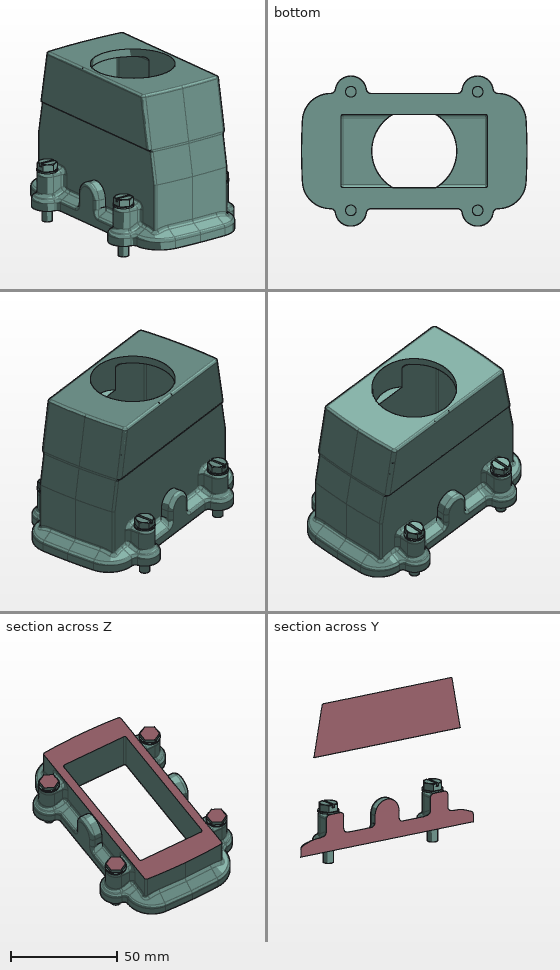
import cadquery as cq
import math

body_height = 74.2
kink_height = 31.2
ledge_bottom = 47.1
ledge_top = 48.0
body_base_half_length = 47.0
body_top_half_length = 39.0
lower_half_width = 21.5
upper_half_width = 22.8
lower_corner_radius = 1.2
upper_corner_radius = 1.8
top_edge_radius = 1.3
end_crown = 1.0

flange_half_length = 53.2
flange_half_width = 27.3
flange_corner_radius = 13.4
flange_end_crown = 1.4
rim_height = 5.0
slope_angle = 30.0
slope_height = 4.0
rim_edge_radius = 1.9
wall_blend_radius = 2.1

boss_x = 29.9
boss_y = 28.0
boss_base_radius = 7.5
boss_radius = 4.9
boss_height = 18.0
boss_edge_radius = 1.9
boss_wall_blend = 1.9
boss_notch_radius = 2.1

overall_height = 81.4
pin_diameter = 5.0
pin_length = overall_height - body_height
washer_diameter = 10.0
washer_top = 18.7
head_top = 22.3
head_across_corners = 9.6
head_crown_diameter = 8.2
slot_width = 1.1
slot_depth = 1.5

pad_half_width = 7.0
pad_center_height = 13.1
pad_foot_radius = 1.9

wall_thickness = 4.3
cavity_half_width = lower_half_width - wall_thickness
cavity_half_length = 34.5
roof_thickness = 3.8
cavity_roof_radius = 1.6
cavity_corner_radius = 0.9
entry_diameter = 40.0
relief_height = 56.3

slope_ratio = math.tan(math.radians(slope_angle))
tolerance = 0.01
boss_points = [(sx * boss_x, sy * boss_y) for sx in (-1, 1) for sy in (-1, 1)]


def end_position(height):
    """Half length of the body, along its middle, at a height."""
    lean = (body_base_half_length - body_top_half_length) / (body_height - kink_height)
    return body_base_half_length - lean * max(0, height - kink_height)


def bowed_outline(height, ridge, half_width, crown, corner_radius):
    """Closed rectangle with round corners and ends that bow out slightly to Y = 0."""
    corner = ridge - crown
    x_mid = ridge - crown / 4
    y_mid = half_width / 2
    wire = (
        cq.Workplane("XY", origin=(0, 0, height))
        .moveTo(ridge, 0)
        .threePointArc((x_mid, y_mid), (corner, half_width))
        .lineTo(-corner, half_width)
        .threePointArc((-x_mid, y_mid), (-ridge, 0))
        .threePointArc((-x_mid, -y_mid), (-corner, -half_width))
        .lineTo(corner, -half_width)
        .threePointArc((x_mid, -y_mid), (ridge, 0))
        .close()
        .val()
    )
    corners = [v for v in wire.Vertices() if abs(v.Y) > half_width / 2]
    return wire.fillet2D(corner_radius, corners)


def body_section(height, half_width, corner_radius):
    crown = end_crown * half_width / lower_half_width
    return bowed_outline(height, end_position(height), half_width, crown, corner_radius)


def make_lower_body():
    outline = body_section(0, lower_half_width, lower_corner_radius)
    return cq.Workplane().add(outline).toPending().extrude(kink_height)


def make_upper_body():
    """Leaning part of the body, stepping out to full width at the ledge."""
    sections = [
        body_section(kink_height, lower_half_width, lower_corner_radius),
        body_section(ledge_bottom, lower_half_width, lower_corner_radius),
        body_section(ledge_top, upper_half_width, upper_corner_radius),
        body_section(body_height, upper_half_width, upper_corner_radius),
    ]
    stages = [cq.Workplane(cq.Solid.makeLoft(list(pair), True)) for pair in zip(sections, sections[1:])]
    body = stages.pop().faces(">Z").edges().fillet(top_edge_radius)
    for stage in stages:
        body = body.union(stage)
    return body


def make_pads():
    """Both round-topped pads as one bar across the flange."""
    return (
        cq.Workplane("XZ")
        .moveTo(-pad_half_width, 0)
        .lineTo(-pad_half_width, pad_center_height)
        .threePointArc((0, pad_center_height + pad_half_width), (pad_half_width, pad_center_height))
        .lineTo(pad_half_width, 0)
        .close()
        .extrude(flange_half_width, both=True)
    )


def fillet_where(part, radius, chosen):
    """Fillet the edges that pass the test `chosen`."""
    return part.newObject([e for e in part.edges().vals() if chosen(e)]).fillet(radius)


def near(value, target):
    """True when a coordinate lies at plus or minus the target."""
    return abs(abs(value) - target) < tolerance


def make_flange():
    """Upright rim around flange and boss feet, with a sloping top."""
    outline = bowed_outline(
        0, flange_half_length, flange_half_width, flange_end_crown, flange_corner_radius
    )
    rim = cq.Workplane().add(outline).toPending().extrude(rim_height)
    boss_feet = cq.Workplane().pushPoints(boss_points).circle(boss_base_radius).extrude(rim_height)
    rim = rim.union(boss_feet)

    def at_notch(edge):
        upright = edge.BoundingBox().zlen > rim_height - tolerance
        return upright and abs(abs(edge.Center().x) - boss_x) < boss_base_radius

    rim = fillet_where(rim, boss_notch_radius, at_notch)
    rim_top = rim.faces(">Z").wires().val()
    slope = cq.Workplane(rim_top).toPending().extrude(slope_height, taper=90 - slope_angle)
    return rim.union(slope)


def add_pads(flange):
    """Flange with the pads, blended where their sides meet the slope."""

    def at_pad_foot(edge):
        center = edge.Center()
        on_slope = rim_height < center.z < rim_height + slope_height - tolerance
        return near(center.x, pad_half_width) and on_slope

    return fillet_where(flange.union(make_pads()), pad_foot_radius, at_pad_foot)


def make_posts():
    """Rounded posts; facing pairs are joined by a web running through the body."""
    posts = cq.Workplane()
    for x in (-boss_x, boss_x):
        post = cq.Workplane("XY", origin=(x, 0, 0))
        post = post.slot2D(2 * (boss_y + boss_radius), 2 * boss_radius, 90).extrude(boss_height)
        posts = posts.add(post.faces(">Z").edges().fillet(boss_edge_radius))
    return posts.combine()


def make_walls():
    """Lower body and posts, blended where the posts leave the wall."""

    def at_post_root(edge):
        center = edge.Center()
        near_post = abs(abs(center.x) - boss_x) < boss_radius + tolerance
        above_floor = 0 < center.z < boss_height + tolerance
        return near(center.y, lower_half_width) and near_post and above_floor

    return fillet_where(make_lower_body().union(make_posts()), boss_wall_blend, at_post_root)


def make_base():
    """Walls standing on the flange, with the blend around their foot and the rounded rim."""

    def at_wall_foot(edge):
        box = edge.BoundingBox()
        return box.zmin > rim_height + tolerance and box.zmax < rim_height + slope_height - tolerance

    def on_rim(edge):
        center = edge.Center()
        around_pad = near(center.y, flange_half_width) and center.z > rim_height
        return around_pad or near(center.z, rim_height)

    flange = make_flange()
    base = fillet_where(make_walls().union(flange), wall_blend_radius, at_wall_foot)
    return fillet_where(base.union(add_pads(flange)), rim_edge_radius, on_rim)


def make_cavity():
    """Straight hollow, open at the bottom, with rounded upper and upright edges."""
    cavity_height = body_height - roof_thickness
    cavity = cq.Workplane().rect(2 * cavity_half_length, 2 * cavity_half_width)
    cavity = cavity.extrude(cavity_height)
    cavity = cavity.faces(">Z").edges("|X").fillet(cavity_roof_radius)
    return cavity.edges("|Z").fillet(cavity_corner_radius)


def make_entry():
    """Round cable entry, cutting into the long walls down to a sloping ledge."""
    radius = entry_diameter / 2
    ledge_rise = (radius - cavity_half_width) * slope_ratio
    bore = cq.Workplane("XY", origin=(0, 0, relief_height)).circle(radius)
    bore = bore.extrude(body_height - relief_height)
    profile = [
        (-cavity_half_width, relief_height), (cavity_half_width, relief_height),
        (radius, relief_height + ledge_rise), (radius, body_height),
        (-radius, body_height), (-radius, relief_height + ledge_rise),
    ]
    limits = cq.Workplane("YZ").polyline(profile).close().extrude(radius, both=True)
    return bore.intersect(limits)


def make_screw():
    """Hexagon-head screw with a washer and a screwdriver slot along Y."""
    head_height = head_top - washer_top
    screw = cq.Workplane("XY", origin=(0, 0, -pin_length))
    screw = screw.circle(pin_diameter / 2).extrude(pin_length + boss_height)
    washer = cq.Workplane("XY", origin=(0, 0, boss_height)).circle(washer_diameter / 2)
    washer = washer.extrude(washer_top - boss_height)
    head = cq.Workplane("XY", origin=(0, 0, washer_top)).polygon(6, head_across_corners)
    head = head.extrude(head_height)
    slot = cq.Workplane("XY", origin=(0, 0, head_top - slot_depth))
    slot = slot.rect(slot_width, head_across_corners).extrude(slot_depth)
    bevel_width = (head_across_corners - head_crown_diameter) / 2
    crown = cq.Workplane("XY", origin=(0, 0, washer_top)).circle(head_across_corners / 2)
    crown = crown.extrude(head_height).faces(">Z").chamfer(bevel_width * slope_ratio, bevel_width)
    head = head.intersect(crown)
    return screw.union(washer).union(head.cut(slot))


result = make_base().union(make_upper_body()).cut(make_cavity()).cut(make_entry())
screw = make_screw()
for x, y in boss_points:
    result = result.union(screw.translate((x, y, 0)))